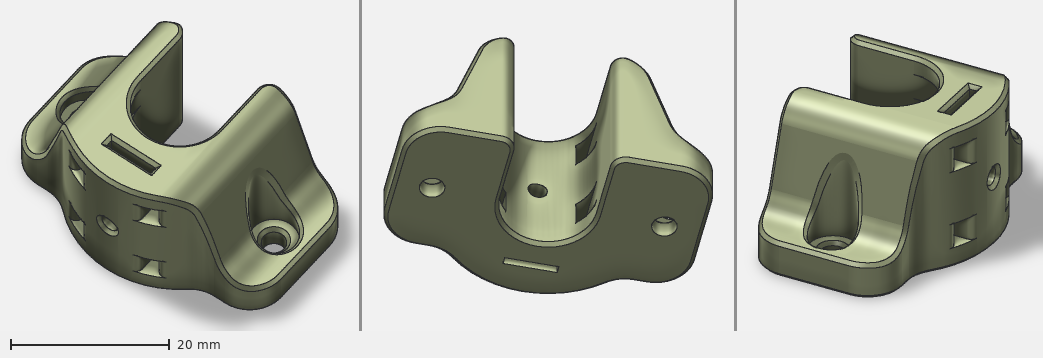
import cadquery as cq
import math

length = 40.0
plate_depth = 20.0
height = 20.0
flange_thickness = 5.0
corner_radius = 5.0
nose_radius = 15.0
bore_diameter = 12.5
bore_mouth_radius = 2.0
roof_half_width = 10.0
slope_run = 5.0
lip_radius = 1.0
chamfer = lip_radius / 2

screw_x = 15.0
screw_diameter = 3.2
head_diameter = 6.5
head_floor = 3.0

pin_diameter = 2.5
pin_height = height / 2

tie_slot_inner = 4.5
tie_slot_height = 3.5
tie_slot_rows = (4.65, 15.75)

pocket_length = 7.0
pocket_width = 1.0
pocket_y = -10.0

half_length = length / 2
half_depth = plate_depth / 2
bore_radius = bore_diameter / 2
foot_half_width = roof_half_width + slope_run


def plan_block():
    """Flange plate with a round nose in front and a U-shaped bore open to the back."""
    plate = cq.Workplane("XY").rect(length, plate_depth).extrude(height).edges("|Z").fillet(corner_radius)
    front_half = cq.Workplane("XY", origin=(0, -nose_radius / 2, 0)).rect(length, nose_radius).extrude(height)
    nose = cq.Workplane("XY").circle(nose_radius).extrude(height).intersect(front_half)
    nose_joint_x = math.sqrt(nose_radius ** 2 - half_depth ** 2)
    block = plate.union(nose)
    for side in (-1, 1):
        joint = cq.selectors.NearestToPointSelector((side * nose_joint_x, -half_depth, height / 2))
        block = block.edges("|Z").edges(joint).fillet(corner_radius)

    bore = (
        cq.Workplane("XY")
        .moveTo(-bore_radius, half_depth)
        .lineTo(-bore_radius, 0)
        .threePointArc((0, -bore_radius), (bore_radius, 0))
        .lineTo(bore_radius, half_depth)
        .close()
        .extrude(height)
    )
    block = block.cut(bore)
    for side in (-1, 1):
        mouth = cq.selectors.NearestToPointSelector((side * bore_radius, half_depth, height / 2))
        block = block.edges("|Z").edges(mouth).fillet(bore_mouth_radius)
    return block


def profile_block():
    """Bell-shaped front profile: flat roof, steep slopes and flat flanges."""
    right_half = [
        (half_length, 0),
        (half_length, flange_thickness),
        (foot_half_width, flange_thickness),
        (roof_half_width, height),
    ]
    left_half = [(-x, z) for x, z in reversed(right_half)]
    block = cq.Workplane("XZ").polyline(right_half + left_half).close().extrude(nose_radius, both=True)
    for side in (-1, 1):
        for x, z in ((foot_half_width, flange_thickness), (roof_half_width, height)):
            bend = cq.selectors.NearestToPointSelector((side * x, 0, z))
            block = block.edges("|Y").edges(bend).fillet(corner_radius)
    return block


def chamfer_outline(block):
    """Break the whole bottom outline and the whole upper outline, bore included."""
    block = block.faces("<Z").edges().chamfer(chamfer)
    return block.edges("|Y").edges(">X").edges(">Z").chamfer(chamfer)


def cut_screw_hole(block, x):
    """Through hole with a flat-bottomed head pocket sunk into the slope."""
    pocket = cq.Workplane("XY", origin=(x, 0, head_floor)).circle(head_diameter / 2).extrude(height)
    block = block.cut(pocket)
    slope_x = (roof_half_width + foot_half_width) / 2
    slope_z = (height + flange_thickness) / 2
    rim = cq.selectors.NearestToPointSelector((math.copysign(slope_x, x), 0, slope_z))
    block = block.edges(rim).chamfer(chamfer)
    hole = cq.Workplane("XY", origin=(x, 0, 0)).circle(screw_diameter / 2).extrude(height)
    countersink = (
        cq.Workplane("XY", origin=(x, 0, head_floor))
        .circle(screw_diameter / 2 + chamfer)
        .workplane(offset=-chamfer)
        .circle(screw_diameter / 2)
        .loft()
    )
    return block.cut(hole).cut(countersink)


def cut_pin_hole(block):
    """Cross hole from the nose into the bore, chamfered where it leaves the nose."""
    pin = cq.Workplane("XZ", origin=(0, 0, pin_height)).circle(pin_diameter / 2).extrude(nose_radius)
    block = block.cut(pin)
    rim = cq.selectors.NearestToPointSelector((0, -nose_radius, pin_height + pin_diameter / 2))
    return block.edges("not(|Z or |X or |Y)").edges(rim).chamfer(chamfer)


def cut_tie_slot(block, side, z):
    """Slot running straight from the nose into the bore, with rounded lips at the nose."""
    width = bore_radius - tie_slot_inner
    x = side * (bore_radius + tie_slot_inner) / 2
    slot = (
        cq.Workplane("XY")
        .box(width, nose_radius, tie_slot_height)
        .translate((x, -nose_radius / 2, z))
    )
    block = block.cut(slot)
    for wall_x in (tie_slot_inner, bore_radius):
        lip_y = -math.sqrt(nose_radius ** 2 - wall_x ** 2)
        lip = cq.selectors.NearestToPointSelector((side * wall_x, lip_y, z))
        block = block.edges("|Z").edges(lip).fillet(lip_radius)
    return block


def cut_roof_pocket(block):
    """Narrow slot down through the full height, chamfered at the roof."""
    pocket = cq.Workplane("XY", origin=(0, pocket_y, 0)).rect(pocket_length, pocket_width).extrude(height)
    block = block.cut(pocket)
    reach_x = pocket_length / 2 + chamfer
    reach_y = pocket_width / 2 + chamfer
    rim = cq.selectors.BoxSelector(
        (-reach_x, pocket_y - reach_y, height - chamfer),
        (reach_x, pocket_y + reach_y, height + chamfer),
    )
    return block.edges(rim).chamfer(chamfer)


result = chamfer_outline(plan_block().intersect(profile_block()))
for side in (-1, 1):
    result = cut_screw_hole(result, side * screw_x)
    for slot_z in tie_slot_rows:
        result = cut_tie_slot(result, side, slot_z)
result = cut_roof_pocket(result)
result = cut_pin_hole(result)